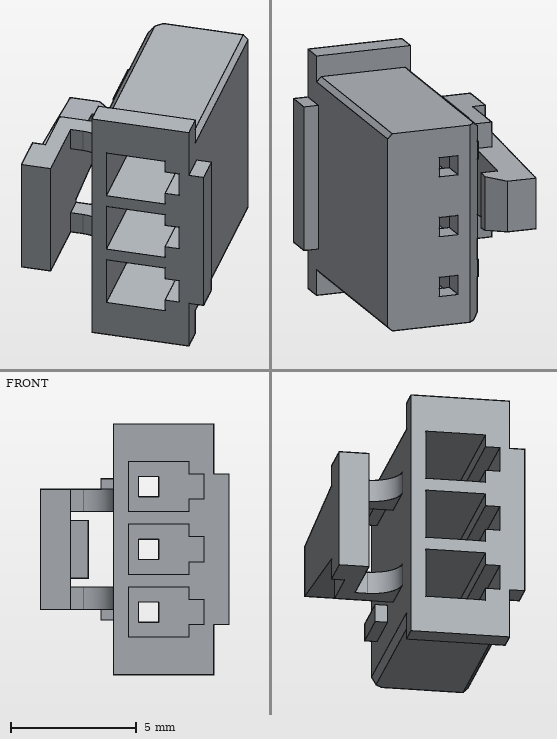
import cadquery as cq

housing_width = 4.0
housing_length = 9.1
housing_height = 8.24
latch_side_chamfer = 0.23
key_side_chamfer = 0.2
lead_in_chamfer = 0.5

flange_height = 10.0
flange_thickness = 1.0
key_height = 6.0
key_projection = 0.61
key_thickness = 1.2

cavity_count = 3
cavity_pitch = 2.5
cavity_start_x = 0.6
cavity_width = 2.42
cavity_height = 2.0
cavity_end_wall = 1.0
notch_depth = 0.58
notch_height = 1.0
pin_hole_start_x = 1.0
pin_hole_size = 0.8

rib_projection = 0.5
rib_start_y = 5.1
rib_length = 2.3
rib_inner_z = 2.1
rib_height = 0.72

arm_outer_x = -2.91
arm_inner_x = -1.7
arm_tip_y = 7.5
arm_tip_height = 2.12
arm_root_height = 3.1
hook_projection = 0.7
hook_base_y = 6.36

base_height = 4.8
base_thick_length = 1.71
base_step = 0.54
bridge_front_y = 3.07
bridge_back_y = 3.9
bridge_height = 0.9
bridge_fillet = 1.2


def box_between(x_range, y_range, z_range):
    """Axis-aligned box given its (low, high) limits along each axis."""
    lows = [limits[0] for limits in (x_range, y_range, z_range)]
    sizes = [limits[1] - limits[0] for limits in (x_range, y_range, z_range)]
    return cq.Workplane("XY").box(*sizes, centered=False).translate(tuple(lows))


def centered_range(size, center=0.0):
    return (center - size / 2, center + size / 2)


def make_housing():
    body = box_between((0, housing_width), (0, housing_length), centered_range(housing_height))
    body = body.edges("|Y and <X").chamfer(latch_side_chamfer)
    body = body.edges("|Y and >X").chamfer(key_side_chamfer)
    lead_in = (
        cq.Workplane("XY")
        .moveTo(0, housing_length)
        .lineTo(lead_in_chamfer, housing_length)
        .lineTo(0, housing_length - lead_in_chamfer)
        .close()
        .extrude(housing_height / 2, both=True)
    )
    flange = box_between((0, housing_width), (0, flange_thickness), centered_range(flange_height))
    key = box_between(
        (housing_width - key_side_chamfer, housing_width + key_projection),
        (0, key_thickness),
        centered_range(key_height),
    )
    return body.cut(lead_in).union(flange).union(key)


def make_cavity(center_z):
    cavity_end_x = cavity_start_x + cavity_width
    cavity_y = (0, housing_length - cavity_end_wall)
    pocket = box_between((cavity_start_x, cavity_end_x), cavity_y, centered_range(cavity_height, center_z))
    notch = box_between(
        (cavity_start_x, cavity_end_x + notch_depth),
        cavity_y,
        centered_range(notch_height, center_z),
    )
    pin_hole = box_between(
        (pin_hole_start_x, pin_hole_start_x + pin_hole_size),
        (0, housing_length),
        centered_range(pin_hole_size, center_z),
    )
    return pocket.union(notch).union(pin_hole)


def make_rib():
    return box_between(
        (-rib_projection, 0),
        (rib_start_y, rib_start_y + rib_length),
        (rib_inner_z, rib_inner_z + rib_height),
    )


def make_arm():
    """Hooked arm profile, narrowed towards its tip by a tapered outline."""
    hook_x = arm_inner_x + hook_projection
    profile = (
        cq.Workplane("XY")
        .polyline([
            (arm_outer_x, base_thick_length),
            (arm_outer_x, arm_tip_y),
            (arm_inner_x, arm_tip_y),
            (hook_x, arm_tip_y - hook_projection),
            (hook_x, hook_base_y),
            (arm_inner_x, hook_base_y),
            (arm_inner_x, base_thick_length),
        ])
        .close()
        .extrude(arm_root_height / 2, both=True)
    )
    taper = (
        cq.Workplane("YZ", origin=(arm_outer_x, 0, 0))
        .polyline([
            (base_thick_length, -arm_root_height / 2),
            (arm_tip_y, -arm_tip_height / 2),
            (arm_tip_y, arm_tip_height / 2),
            (base_thick_length, arm_root_height / 2),
        ])
        .close()
        .extrude(hook_x - arm_outer_x)
    )
    return profile.intersect(taper)


def make_latch_base():
    thick = box_between((arm_outer_x, arm_inner_x), (0, base_thick_length), centered_range(base_height))
    thin = box_between(
        (arm_outer_x + base_step, arm_inner_x), (0, bridge_back_y), centered_range(base_height)
    )
    return thick.union(thin)


def make_bridge():
    """Upper bridge from the latch base to the housing, flared where it meets the housing."""
    return (
        cq.Workplane("XY", origin=(0, 0, base_height / 2 - bridge_height))
        .moveTo(arm_inner_x, bridge_back_y)
        .lineTo(0, bridge_back_y)
        .lineTo(0, bridge_front_y - bridge_fillet)
        .radiusArc((-bridge_fillet, bridge_front_y), -bridge_fillet)
        .lineTo(arm_inner_x, bridge_front_y)
        .close()
        .extrude(bridge_height)
    )


result = make_housing()
for index in range(cavity_count):
    result = result.cut(make_cavity((index - (cavity_count - 1) / 2) * cavity_pitch))
for feature in (make_rib(), make_bridge()):
    result = result.union(feature).union(feature.mirror("XY"))
result = result.union(make_latch_base()).union(make_arm())